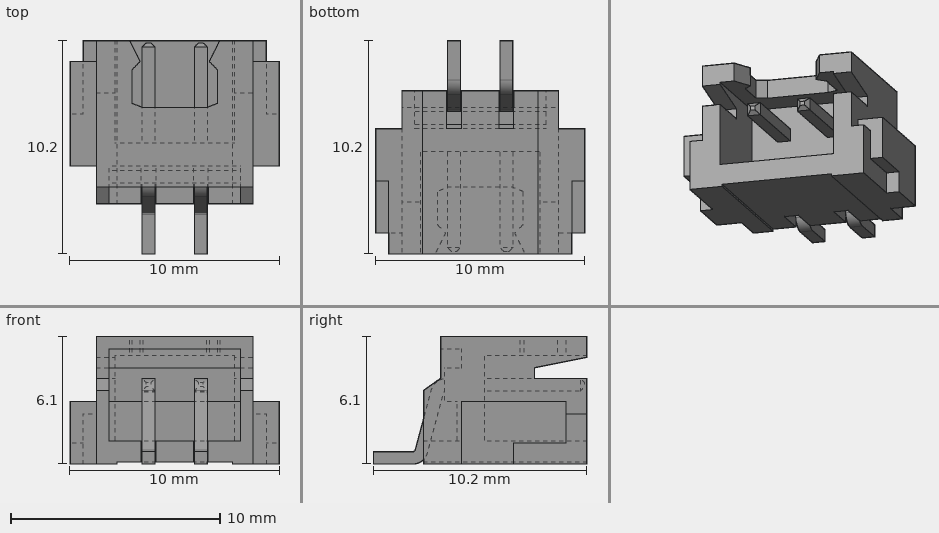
import cadquery as cq
import math


body_width = 7.5
body_height = 6.1
base_depth = 7.8
roof_depth = 7.0
shoulder_top = 4.1
shoulder_bottom = 3.53

cavity_width = 5.7
cavity_depth = 4.9
cavity_ceiling = 5.2
floor_top = 1.1

notch_mouth_width = 4.3
notch_throat_width = 3.3
notch_inner_width = 4.08
notch_end_width = 3.04
notch_throat_depth = 1.0
notch_inner_depth = 1.4
notch_taper_depth = 3.0
notch_depth = 3.2

slit_depth = 2.5
slit_bottom = 4.1
slit_inner_top = 4.6
slit_mouth_top = 5.1

front_wall = 0.6
front_width = body_width - 2 * front_wall
front_ceiling = body_height - front_wall
block_top = 4.6
block_bottom = 3.0
block_face_depth = 6.8
recess_face_depth = 6.2
recess_back_depth = 6.0

channel_width = 5.51
channel_height = 0.1

wing_span = 10
wing_back_depth = 1.0
wing_front_depth = 6.0
wing_height = 3.0
undercut_front_depth = 3.5
undercut_height = 1.0
tab_span = 8.75
tab_height = 2.4

lead_pitch = 2.5
lead_width = 0.63
lead_thickness = 0.6
lead_top = 4.1
lead_tip_depth = 0.11
lead_foot_depth = 10.2
lead_tip_chamfer = 0.2
leg_tilt = math.radians(15)
foot_bend_depth = 8.23
shoulder_inner_radius = 0.19
foot_inner_radius = 0.1
lead_slot_width = 0.7
lead_positions = (-lead_pitch / 2, lead_pitch / 2)


def block(width, back_depth, front_depth, bottom, top, center_x=0):
    """Box centred on center_x between two depths behind the mating face and two heights."""
    size = (width, front_depth - back_depth, top - bottom)
    return cq.Workplane("XY").box(*size, centered=(True, False, False)).translate(
        (center_x, -front_depth, bottom)
    )


def side_profile(points, width):
    """Extrude a closed (depth, height) outline by width along X, centred on X = 0."""
    outline = [(-depth, height) for depth, height in points]
    return cq.Workplane("YZ").polyline(outline).close().extrude(width / 2, both=True)


def make_housing():
    """Solid housing with the sloped shoulders at its front."""
    return side_profile(
        [
            (0, 0),
            (0, body_height),
            (roof_depth, body_height),
            (roof_depth, shoulder_top),
            (base_depth, shoulder_bottom),
            (base_depth, 0),
        ],
        body_width,
    )


def make_wings():
    """Wings on both sides, joined through the housing."""
    wings = block(wing_span, wing_back_depth, wing_front_depth, 0, wing_height)
    return wings.cut(block(wing_span, wing_back_depth, undercut_front_depth, 0, undercut_height))


def make_notch():
    """Keying notch with a narrow throat, cut down from the roof into the cavity."""
    right_side = [
        (notch_mouth_width / 2, 0),
        (notch_throat_width / 2, -notch_throat_depth),
        (notch_inner_width / 2, -notch_inner_depth),
        (notch_inner_width / 2, -notch_taper_depth),
        (notch_end_width / 2, -notch_depth),
    ]
    left_side = [(-x, y) for x, y in reversed(right_side)]
    outline = cq.Workplane("XY").workplane(offset=cavity_ceiling).polyline(right_side + left_side)
    return outline.close().extrude(body_height - cavity_ceiling)


def make_slits():
    """Tapered slits through both side walls."""
    return side_profile(
        [
            (0, slit_bottom),
            (0, slit_mouth_top),
            (slit_depth, slit_inner_top),
            (slit_depth, slit_bottom),
        ],
        body_width,
    )


def make_front_recess():
    """Stepped recess that goes deeper above and below the block holding the leads."""
    recess = block(front_width, block_face_depth, base_depth, floor_top, front_ceiling)
    recess = recess.union(
        block(front_width, recess_back_depth, base_depth, block_top, front_ceiling)
    )
    return recess.union(
        block(front_width, recess_face_depth, base_depth, floor_top, block_bottom)
    )


def make_lead(center_x):
    """Bent strip: straight pin, tilted leg and flat foot, with a pointed tip."""
    leg_height = lead_top - lead_thickness
    leg_run = lead_thickness / math.cos(leg_tilt)

    def leg_depth(height):
        """Depth of the outer leg face at a given height."""
        return foot_bend_depth + (lead_thickness - height) * math.tan(leg_tilt)

    shoulder_outer = (leg_depth(lead_top), lead_top)
    shoulder_inner = (leg_depth(leg_height) - leg_run, leg_height)
    foot_inner = (leg_depth(lead_thickness), lead_thickness)
    foot_outer = (leg_depth(0) - leg_run, 0)
    lead = side_profile(
        [
            (lead_tip_depth, leg_height),
            (lead_tip_depth, lead_top),
            shoulder_outer,
            foot_inner,
            (lead_foot_depth, lead_thickness),
            (lead_foot_depth, 0),
            foot_outer,
            shoulder_inner,
        ],
        lead_width,
    )
    bends = [
        (shoulder_outer, shoulder_inner_radius + lead_thickness),
        (shoulder_inner, shoulder_inner_radius),
        (foot_inner, foot_inner_radius),
        (foot_outer, foot_inner_radius + lead_thickness),
    ]
    for (depth, height), radius in bends:
        corner = cq.selectors.NearestToPointSelector((0, -depth, height))
        lead = lead.edges("|X").edges(corner).fillet(radius)
    lead = lead.faces(">Y").chamfer(lead_tip_chamfer)
    return lead.translate((center_x, 0, 0))


result = make_housing().union(make_wings())
result = result.union(block(tab_span, 0, undercut_front_depth, 0, tab_height))

result = result.cut(block(cavity_width, 0, cavity_depth, floor_top, cavity_ceiling))
result = result.cut(make_notch())
result = result.cut(make_slits())
result = result.cut(make_front_recess())
result = result.cut(block(channel_width, 0, base_depth, 0, channel_height))

for lead_x in lead_positions:
    result = result.cut(
        block(lead_slot_width, recess_back_depth, base_depth, 0, floor_top, lead_x)
    )
    result = result.union(make_lead(lead_x))